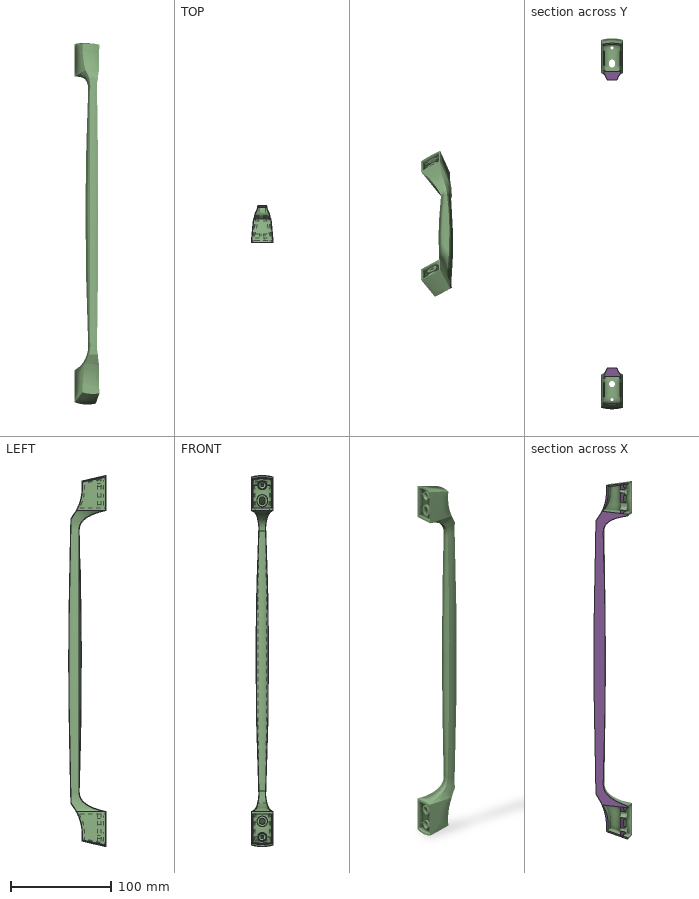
import cadquery as cq
import math

LENGTH = 370
END_Z = LENGTH / 2
FACE_Y = -18.5
REAR_Y = 18.5
SPAN = 111

FOOT_HALF_WIDTH = 10.9
FOOT_TOP_REAR_HALF_WIDTH = 7.95
FOOT_LOW_REAR_HALF_WIDTH = 6.0
FOOT_BACK_Y = 5.0
FOOT_BACK_TOP_Z = 170.2
FOOT_BACK_BEND = (6.5, 160.5)
FOOT_BACK_LOW_Y = 10.7
FOOT_BOTTOM_Z = 150.2
ROOF_DROP = 5.5
ROOF_RADIUS = 39.0

NECK_HALF_WIDTHS = [(137, 3.7), (144.3, 5.0)]
UNDERSIDE_BEND = (1.0, 143.0)
UNDERSIDE_START = (1, -0.25)
BACK_CORNER_Y = 16.3
BACK_CORNER_Z = 141.7

GRIP_END_Z = 129.5
GRIP_END_HALF_WIDTH = 3.5
GRIP_MID_HALF_WIDTH = 6.3
GRIP_MID_BACK_HALF_WIDTH = 4.5
GRIP_EDGE_Y = 8.0
GRIP_END_CROWN = 0.07
GRIP_MID_CROWN = 2.2
GRIP_END_BACK_Y = 16.5
GRIP_SECTIONS = 5

SIDE_WALL = 1.3
ROOF_WALL = 2.0
FLOOR_WALL = 2.2
BACK_WALL = 2.2

PLATE_RECESS = 4.8
PLATE_THICKNESS = 3.7
SCREW_Z = 160.0
SCREW_RADIUS = 3.0
BOSS_RADIUS = 5.0
BOSS_HEIGHT = 2.5
SLOT_TRAVEL = 2.0
RIB_HALF_LENGTH = 7.8
RIB_THICKNESS = 0.5
PIN_Z = 175.5
PIN_RADIUS = 1.5
PIN_BOSS_RADIUS = 4.5
COUNTERSINK_RADIUS = 3.7
COUNTERSINK_ANGLE = 90


def section(workplane, front, back):
    """Trapezoid across the handle, from its half width at the front to that at the rear."""
    corners = [(-front, FACE_Y), (front, FACE_Y), (back, REAR_Y), (-back, REAR_Y)]
    return workplane.polyline(corners).close()


def foot_blank(inset):
    """Foot block that narrows towards the rear, set in by a wall thickness."""
    front = FOOT_HALF_WIDTH - inset
    bottom = cq.Workplane("XY").workplane(offset=FOOT_BOTTOM_Z)
    bottom = section(bottom, front, FOOT_LOW_REAR_HALF_WIDTH - inset)
    top = bottom.workplane(offset=END_Z - FOOT_BOTTOM_Z)
    return section(top, front, FOOT_TOP_REAR_HALF_WIDTH - inset).loft(ruled=True, combine=True)


def neck_blank():
    """Smooth narrowing from the foot down to the end of the grip."""
    blank = cq.Workplane("XY").workplane(offset=GRIP_END_Z)
    blank = section(blank, GRIP_END_HALF_WIDTH, GRIP_END_HALF_WIDTH)
    level = GRIP_END_Z
    for z, half_width in NECK_HALF_WIDTHS:
        blank = section(blank.workplane(offset=z - level), half_width, half_width)
        level = z
    blank = blank.workplane(offset=FOOT_BOTTOM_Z - level)
    return section(blank, FOOT_HALF_WIDTH, FOOT_LOW_REAR_HALF_WIDTH).loft(combine=True)


def roof_blank(wall):
    """Space below the crowned, sloping end face, lowered by a wall thickness."""
    depth = FOOT_BACK_Y - FACE_Y
    upright_radius = ROOF_RADIUS * math.hypot(depth, ROOF_DROP) / depth
    slope = cq.Plane(
        origin=(0, FACE_Y, END_Z - wall - upright_radius),
        xDir=(1, 0, 0),
        normal=(0, depth, -ROOF_DROP),
    )
    return cq.Workplane(slope).circle(ROOF_RADIUS).extrude(SPAN, both=True)


def foot_and_neck():
    """Solid upper foot and the curved neck that joins it to the grip."""
    side = (
        cq.Workplane("YZ", origin=(-SPAN / 2, 0, 0))
        .moveTo(FACE_Y, END_Z)
        .lineTo(FACE_Y, FOOT_BOTTOM_Z)
        .spline(
            [UNDERSIDE_BEND, (GRIP_EDGE_Y, GRIP_END_Z)],
            tangents=[UNDERSIDE_START, (0, -1)],
            includeCurrent=True,
        )
        .lineTo(GRIP_END_BACK_Y, GRIP_END_Z)
        .lineTo(BACK_CORNER_Y, BACK_CORNER_Z)
        .lineTo(FOOT_BACK_LOW_Y, FOOT_BOTTOM_Z)
        .threePointArc(FOOT_BACK_BEND, (FOOT_BACK_Y, FOOT_BACK_TOP_Z))
        .lineTo(FOOT_BACK_Y, END_Z)
        .close()
        .extrude(SPAN)
    )
    blank = foot_blank(0).intersect(roof_blank(0)).union(neck_blank())
    return side.intersect(blank)


def foot_cavity():
    """Hollow of the upper foot, open at the mounting face."""
    floor_z = FOOT_BOTTOM_Z + FLOOR_WALL
    bend_y, bend_z = FOOT_BACK_BEND
    side = (
        cq.Workplane("YZ", origin=(-SPAN / 2, 0, 0))
        .moveTo(FACE_Y, END_Z)
        .lineTo(FACE_Y, floor_z)
        .lineTo(FOOT_BACK_LOW_Y - BACK_WALL, floor_z)
        .threePointArc((bend_y - BACK_WALL, bend_z), (FOOT_BACK_Y - BACK_WALL, FOOT_BACK_TOP_Z))
        .lineTo(FOOT_BACK_Y - BACK_WALL, END_Z)
        .close()
        .extrude(SPAN)
    )
    return side.intersect(foot_blank(SIDE_WALL)).intersect(roof_blank(ROOF_WALL))


def swell(end, middle, z):
    """Parabolic change from the value at the grip ends to the value at its middle."""
    return middle + (end - middle) * (z / GRIP_END_Z) ** 2


def grip():
    """Bar with a crowned front and flat back, lofted through evenly spaced sections."""
    step = 2 * GRIP_END_Z / (GRIP_SECTIONS - 1)
    bar = cq.Workplane("XY").workplane(offset=-GRIP_END_Z)
    for index in range(GRIP_SECTIONS):
        z = -GRIP_END_Z + index * step
        front = swell(GRIP_END_HALF_WIDTH, GRIP_MID_HALF_WIDTH, z)
        back = swell(GRIP_END_HALF_WIDTH, GRIP_MID_BACK_HALF_WIDTH, z)
        back_y = swell(GRIP_END_BACK_Y, REAR_Y, z)
        crown_y = GRIP_EDGE_Y - swell(GRIP_END_CROWN, GRIP_MID_CROWN, z)
        if index > 0:
            bar = bar.workplane(offset=step)
        bar = (
            bar.moveTo(-front, GRIP_EDGE_Y)
            .threePointArc((0, crown_y), (front, GRIP_EDGE_Y))
            .lineTo(back, back_y)
            .lineTo(-back, back_y)
            .close()
        )
    return bar.loft(combine=True)


def screw_outline(plane, radius, slot_travel):
    """Round outline about the screw, stretched along Z where the screw can be adjusted."""
    at_screw = plane.center(0, SCREW_Z)
    if slot_travel > 0:
        return at_screw.slot2D(2 * radius + slot_travel, 2 * radius, 90)
    return at_screw.circle(radius)


def mounting_plate(slot_travel):
    """Plate filling the cavity outline, with a screw boss and a ribbed, countersunk pin boss."""
    face = cq.Workplane("XZ", origin=(0, FACE_Y + PLATE_RECESS, 0))
    slab = face.rect(SPAN, 2 * LENGTH).extrude(-PLATE_THICKNESS)
    plate = foot_cavity().intersect(slab)
    boss = screw_outline(face, BOSS_RADIUS, slot_travel).extrude(BOSS_HEIGHT)
    pin_boss = face.center(0, PIN_Z).circle(PIN_BOSS_RADIUS).extrude(BOSS_HEIGHT)
    rib = face.center(0, PIN_Z).rect(2 * RIB_HALF_LENGTH, RIB_THICKNESS).extrude(BOSS_HEIGHT)
    bore = screw_outline(face, SCREW_RADIUS, slot_travel).extrude(SPAN, both=True)
    return (
        plate.union(boss)
        .union(rib)
        .union(pin_boss)
        .cut(bore)
        .copyWorkplane(face.workplane(offset=BOSS_HEIGHT))
        .center(0, PIN_Z)
        .cskHole(2 * PIN_RADIUS, 2 * COUNTERSINK_RADIUS, COUNTERSINK_ANGLE)
    )


upper_foot = foot_and_neck().cut(foot_cavity())
handle = grip().union(upper_foot).union(upper_foot.mirror("XY"))
upper_plate = mounting_plate(SLOT_TRAVEL)
lower_plate = mounting_plate(0).mirror("XY")

result = cq.Compound.makeCompound([handle.val(), upper_plate.val(), lower_plate.val()])